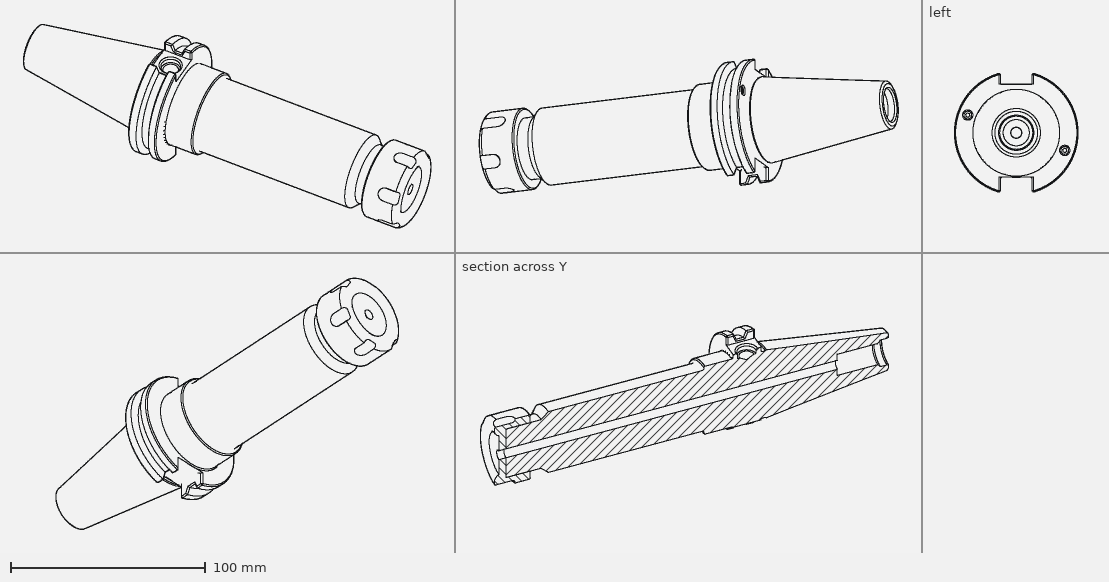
import cadquery as cq
import math

total_length = 220.7

taper_length = 68.5
gauge_diameter = 44.5
taper_ratio = 7 / 24
taper_end_diameter = gauge_diameter - taper_ratio * taper_length
taper_end_chamfer_axial = 0.9
taper_end_chamfer_radial = 1.3

relief_diameter = 43.7
relief_start = taper_length + 0.7
root_fillet = 0.7
flange_start = 71.3
flange_width = 15.9
flange_end = flange_start + flange_width
flange_diameter = 63.5
flange_chamfer = 0.7

groove_center = 79.5
groove_floor_diameter = 56.3
groove_floor_width = 4.0
groove_top_width = 7.0

collar_diameter = 44.5
collar_end = 103.5
collar_chamfer = 0.7

body_diameter = 40.0
body_end = 190.5
neck_start = 194.5
neck_diameter = 32.0

nut_start = 200.4
nut_diameter = 42.1
nut_back_chamfer = 0.7
nut_rim_start = 218.0
nut_crest_diameter = 33.5
nut_lip = 6.6
nose_end = total_length - nut_lip

through_hole_diameter = 5.5
bore_mouth_diameter = 18.0
bore_mouth_depth = 1.0
pilot_diameter = 17.0
pilot_end = 4.6
thread_diameter = 13.5
thread_start = 6.2
thread_end = 28.7

drive_slot_width = 16.0
drive_slot_chamfer = 0.9
upper_slot_floor = 25.0
lower_slot_floor = 22.7
lower_slot_corner_radius = 0.9

dimple_diameter = 10.2
dimple_mouth_diameter = 12.0
dimple_mouth_depth = 0.9
dimple_depth = 3.3
dimple_cone_diameter = 8.0
dimple_cone_angle = 118

screw_circle_radius = 26.5
screw_angle = 20.0
screw_diameter = 4.0
screw_length = 4.5
screw_hole_chamfer = 0.7
screw_recess = 0.9
screw_socket_width = 2.0
screw_socket_depth = 1.8

wrench_slot_count = 6
wrench_slot_first_angle = 30.0
long_slot_angle = 30.0
wrench_slot_floor_radius = 19.0
wrench_slot_floor_fillet = 1.5
wrench_slot_width = 7.0
wrench_slot_start = 209.0
long_slot_start = 206.0

tolerance = 0.0002


def revolve_about_axis(profile):
    """Solid of revolution about X from (x, diameter) points."""
    points = [(x, diameter / 2) for x, diameter in profile]
    outline = [(points[0][0], 0)] + points + [(points[-1][0], 0)]
    return cq.Workplane("XY").polyline(outline).close().revolve(360, (0, 0, 0), (1, 0, 0))


def holder_blank():
    blank = revolve_about_axis([
        (0, taper_end_diameter - 2 * taper_end_chamfer_radial),
        (taper_end_chamfer_axial, taper_end_diameter + taper_ratio * taper_end_chamfer_axial),
        (taper_length, gauge_diameter),
        (relief_start, relief_diameter),
        (flange_start, relief_diameter),
        (flange_start, flange_diameter - 2 * flange_chamfer),
        (flange_start + flange_chamfer, flange_diameter),
        (groove_center - groove_top_width / 2, flange_diameter),
        (groove_center - groove_floor_width / 2, groove_floor_diameter),
        (groove_center + groove_floor_width / 2, groove_floor_diameter),
        (groove_center + groove_top_width / 2, flange_diameter),
        (flange_end - flange_chamfer, flange_diameter),
        (flange_end, flange_diameter - 2 * flange_chamfer),
        (flange_end, collar_diameter),
        (collar_end - collar_chamfer, collar_diameter),
        (collar_end, collar_diameter - 2 * collar_chamfer),
        (collar_end, body_diameter),
        (body_end, body_diameter),
        (neck_start, neck_diameter),
        (nose_end, neck_diameter),
    ])
    return fillet_roots(blank)


def fillet_roots(blank):
    """Round the inside corners where a smaller cylinder meets a shoulder."""
    corners = [
        (flange_start, relief_diameter),
        (flange_end, collar_diameter),
        (collar_end, body_diameter),
    ]
    root_edges = [
        edge
        for edge in blank.edges("%CIRCLE").vals()
        for x, diameter in corners
        if abs(edge.arcCenter().x - x) < tolerance and abs(2 * edge.radius() - diameter) < tolerance
    ]
    return blank.newObject(root_edges).fillet(root_fillet)


def axial_bore():
    return revolve_about_axis([
        (0, bore_mouth_diameter),
        (bore_mouth_depth, pilot_diameter),
        (pilot_end, pilot_diameter),
        (thread_start, thread_diameter),
        (thread_end, thread_diameter),
        (thread_end, through_hole_diameter),
        (total_length, through_hole_diameter),
    ])


def drive_slots():
    """Rectangular notches through the flange, at different depths above and below."""
    middle = (flange_start + flange_end) / 2
    height = flange_diameter / 2
    slot = cq.Workplane("XY").box(flange_width, drive_slot_width, height, centered=(True, True, False))
    upper = slot.translate((middle, 0, upper_slot_floor))
    lower = slot.translate((middle, 0, -lower_slot_floor - height))
    return upper.union(lower)


def chamfer_slot_walls(flange):
    """Bevel the drive slot walls along the rim, the groove and the side faces of the flange."""
    half_width = drive_slot_width / 2
    slot_floors = (upper_slot_floor, -lower_slot_floor)
    wall_edges = [
        edge
        for edge in flange.edges().vals()
        if all(abs(abs(point.y) - half_width) < tolerance for point in edge.positions([0, 0.5, 1]))
        and min(abs(edge.Center().z - floor) for floor in slot_floors) > tolerance
    ]
    return flange.newObject(wall_edges).chamfer(drive_slot_chamfer)


def round_lower_corners(flange):
    """Fillet where the walls of the lower drive slot meet its floor."""
    corners = [
        edge
        for edge in flange.edges("|X").vals()
        if abs(edge.Center().z + lower_slot_floor) < tolerance
        and abs(abs(edge.Center().y) - drive_slot_width / 2) < tolerance
    ]
    return flange.newObject(corners).fillet(lower_slot_corner_radius)


def dimple():
    """Drilled blind hole with a chamfered mouth in the floor of the upper drive slot."""
    radius = dimple_diameter / 2
    mouth_radius = dimple_mouth_diameter / 2
    cone_radius = dimple_cone_diameter / 2
    cone_height = cone_radius / math.tan(math.radians(dimple_cone_angle / 2))
    return (
        cq.Workplane("XZ")
        .polyline([
            (0, 0),
            (mouth_radius, 0),
            (radius, -dimple_mouth_depth),
            (radius, -dimple_depth),
            (cone_radius, -dimple_depth),
            (0, -dimple_depth - cone_height),
        ])
        .close()
        .revolve(360, (0, 0, 0), (0, 1, 0))
        .translate((groove_center, 0, upper_slot_floor))
    )


def place_screws(shape):
    """Copies of a shape built on the X axis, moved to the two opposite screw positions."""
    for turn in (screw_angle, 180 + screw_angle):
        yield shape.translate((flange_start, screw_circle_radius, 0)).rotate((0, 0, 0), (1, 0, 0), turn)


def screw_hole():
    depth = screw_recess + screw_length
    return revolve_about_axis([
        (0, screw_diameter + 2 * screw_hole_chamfer),
        (screw_hole_chamfer, screw_diameter),
        (depth, screw_diameter),
    ])


def make_holder():
    holder = chamfer_slot_walls(holder_blank().cut(drive_slots()))
    holder = round_lower_corners(holder)
    holder = holder.cut(axial_bore()).cut(dimple())
    for hole in place_screws(screw_hole()):
        holder = holder.cut(hole)
    return holder


def make_screw():
    blank = cq.Workplane("YZ").circle(screw_diameter / 2).extrude(screw_length)
    corner_diameter = screw_socket_width / math.cos(math.pi / 6)
    socket = cq.Workplane("YZ").polygon(6, corner_diameter).extrude(screw_socket_depth)
    return blank.cut(socket).translate((screw_recess, 0, 0))


def nut_blank():
    """Cylinder with a bevelled back edge and a rounded front rim around a shallow flat recess."""
    radius = nut_diameter / 2
    crest_radius = nut_crest_diameter / 2
    recess_radius = 2 * crest_radius - radius
    return (
        cq.Workplane("XY")
        .moveTo(nut_start, 0)
        .lineTo(nut_start, radius - nut_back_chamfer)
        .lineTo(nut_start + nut_back_chamfer, radius)
        .lineTo(nut_rim_start, radius)
        .threePointArc((total_length, crest_radius), (nut_rim_start, recess_radius))
        .lineTo(nut_rim_start, 0)
        .close()
        .revolve(360, (0, 0, 0), (1, 0, 0))
    )


def nut_bore():
    return revolve_about_axis([
        (nut_start, neck_diameter),
        (nose_end, neck_diameter),
        (nose_end, through_hole_diameter),
        (total_length, through_hole_diameter),
    ])


def wrench_slot(start):
    """Round-ended slot on the +Y side, open at the nut face, with a filleted floor."""
    depth = nut_diameter / 2 - wrench_slot_floor_radius
    end = total_length + wrench_slot_width
    return (
        cq.Workplane("XZ", origin=((start + end) / 2, wrench_slot_floor_radius, 0))
        .slot2D(end - start, wrench_slot_width)
        .extrude(-depth)
        .faces("<Y")
        .edges()
        .fillet(wrench_slot_floor_fillet)
    )


def make_nut():
    nut = nut_blank().cut(nut_bore())
    for i in range(wrench_slot_count):
        angle = wrench_slot_first_angle + i * 360 / wrench_slot_count
        start = long_slot_start if angle == long_slot_angle else wrench_slot_start
        nut = nut.cut(wrench_slot(start).rotate((0, 0, 0), (1, 0, 0), angle))
    return nut


holder = make_holder()
nut = make_nut()
screws = list(place_screws(make_screw()))

result = cq.Compound.makeCompound([holder.val(), nut.val(), *[screw.val() for screw in screws]])